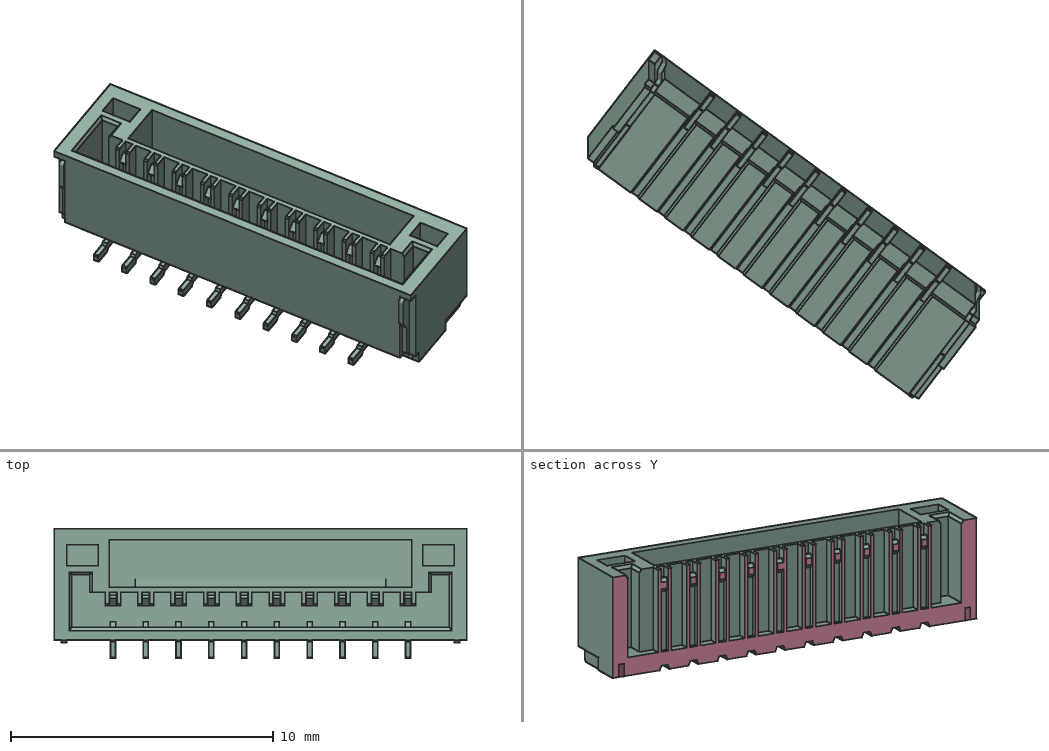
import cadquery as cq


PITCH = 1.25
CONTACT_COUNT = 10
ROW_END_MARGIN = 2.25
LENGTH = (CONTACT_COUNT - 1) * PITCH + 2 * ROW_END_MARGIN
HALF_LENGTH = LENGTH / 2
DEPTH = 4.26
TOP_Z = 4.2
BASE_Z = 0.15
STEP_Z = 0.65
STEP_DEPTH = 0.62
FLOOR_Z = 0.9
CONTACT_X = [(i - (CONTACT_COUNT - 1) / 2) * PITCH for i in range(CONTACT_COUNT)]

FRONT_WALL = 0.36
CAVITY_END_WALL = 0.57
EAR_WIDTH = 0.88
EAR_BACK_Y = 2.6
TONGUE_FRONT_Y = 1.83
LEAD_IN_SIDE = 0.1
LEAD_IN_FRONT = 0.14
LEAD_IN_HEIGHT = 0.13
CAVITY_FRONT_Y = FRONT_WALL + LEAD_IN_FRONT
EAR_OUTER_X = HALF_LENGTH - CAVITY_END_WALL
EAR_INNER_X = EAR_OUTER_X - EAR_WIDTH

RIB_PAIR_WIDTH = 0.6
RIB_GAP = 0.3
RIB_FRONT_Y = 1.32
RIB_CHAMFER = 0.06

POCKET_END_WALL = 2.1
POCKET_FRONT_Y = 2.02
POCKET_BACK_Y = 3.83
RAMP_END_WALL = 3.1
RAMP_DEPTH = 0.3
RAMP_RISE = 0.04

HOLE_LENGTH = 1.2
HOLE_WIDTH = 0.8
HOLE_INSET_X = 0.49
HOLE_BACK_WALL = 0.62

CONTACT_WIDTH = 0.2
CONTACT_REAR_Y = 1.0
STEM_FRONT_Y = 0.3
TAIL_REACH = 0.7
TAIL_THICKNESS = 0.33
TAIL_SHOULDER_Z = 0.43
TAIL_BEND = 0.07
TAIL_TIP_CHAMFER = 0.05
BLADE_TOP_Z = 3.82
BLADE_NOSE_DROP = 0.28
BLADE_NOSE_Z = BLADE_TOP_Z - BLADE_NOSE_DROP
BLADE_UNDERCUT_Z = BLADE_NOSE_Z - BLADE_NOSE_DROP
BLADE_TIP_Y = 1.6
BLADE_LEVEL_Y = 1.72
BLADE_LEVEL_Z = 3.75
BLADE_WIDTH = 0.26
SPRING_DEPTH = 0.2
SPRING_TOP_Z = 1.3
TAIL_SLOT_WIDTH = 0.27
FLARE_WIDTH = 0.42
FLARE_TOP_Z = 0.33

TAB_THICKNESS = 0.2
TAB_INSET = 0.28
TAB_TOP_Z = 3.8
TAB_PROUD = 0.1
TAB_NECK_Y = 0.19
TAB_BEND_TOP_Z = 2.62
TAB_BEND_LOW_Z = 2.14
TAB_NECK_LOW_Z = 0.8
TAB_SETBACK_Z = 0.5
TAB_STRIP_BACK_Y = 0.8
TAB_BEND_RADIUS = 0.12
TAB_FOOT_FRONT_Y = 2.2
TAB_FOOT_CORNER = 0.1
GROOVE_DEPTH = 0.38
GROOVE_TOP_Z = 3.9
REAR_NOTCH_FRONT_Y = 2.65


def block(x_range, y_range, z_range):
    """Box spanning the given (low, high) ranges."""
    size = [high - low for low, high in (x_range, y_range, z_range)]
    origin = (x_range[0], y_range[0], z_range[0])
    return cq.Workplane("XY").box(*size, centered=False).translate(origin)


def yz_plate(points, width, x_center=0.0):
    """Closed (y, z) outline extruded to a width about x_center."""
    outline = cq.Workplane("YZ").polyline(points).close()
    return outline.extrude(width / 2, both=True).translate((x_center, 0, 0))


def mirrored(body):
    """The body together with its mirror image at the other end of the housing."""
    return body.add(body.mirror("YZ")).combine()


def cavity_outline(side, front, z):
    """U-shaped cavity outline at height z, its end, ear and front walls moved inward."""
    right_half = [
        (EAR_OUTER_X - side, FRONT_WALL + front),
        (EAR_OUTER_X - side, EAR_BACK_Y - side),
        (EAR_INNER_X + side, EAR_BACK_Y - side),
        (EAR_INNER_X + side, TONGUE_FRONT_Y),
    ]
    left_half = [(-x, y) for x, y in reversed(right_half)]
    return cq.Workplane("XY").workplane(offset=z).polyline(right_half + left_half).close()


def mating_cavity():
    shaft = cavity_outline(LEAD_IN_SIDE, LEAD_IN_FRONT, FLOOR_Z).extrude(TOP_Z - FLOOR_Z)
    lower = cavity_outline(LEAD_IN_SIDE, LEAD_IN_FRONT, TOP_Z - LEAD_IN_HEIGHT).wires().val()
    mouth = cavity_outline(0, 0, TOP_Z).wires().val()
    lead_in = cq.Workplane(cq.Solid.makeLoft([lower, mouth], True))
    return shaft.union(lead_in)


def rib_pair(x_center):
    """Two thin ribs standing either side of one contact."""
    ribs = block(
        (-RIB_PAIR_WIDTH / 2, RIB_PAIR_WIDTH / 2), (RIB_FRONT_Y, TONGUE_FRONT_Y), (FLOOR_Z, TOP_Z)
    )
    ribs = ribs.edges("<Y and >Z").chamfer(RIB_CHAMFER)
    gap = block((-RIB_GAP / 2, RIB_GAP / 2), (RIB_FRONT_Y, TONGUE_FRONT_Y), (FLOOR_Z, TOP_Z))
    return ribs.cut(gap).translate((x_center, 0, 0))


def rear_pocket():
    half = HALF_LENGTH - POCKET_END_WALL
    pocket = block((-half, half), (POCKET_FRONT_Y, POCKET_BACK_Y), (FLOOR_Z, TOP_Z))
    ramp_points = [
        (POCKET_FRONT_Y, FLOOR_Z),
        (POCKET_FRONT_Y + RAMP_DEPTH, FLOOR_Z),
        (POCKET_FRONT_Y, FLOOR_Z + RAMP_RISE),
    ]
    ramp = yz_plate(ramp_points, LENGTH - 2 * RAMP_END_WALL)
    return pocket.cut(ramp)


def corner_holes():
    outer_x = HALF_LENGTH - HOLE_INSET_X
    back_y = DEPTH - HOLE_BACK_WALL
    return mirrored(
        block((outer_x - HOLE_LENGTH, outer_x), (back_y - HOLE_WIDTH, back_y), (FLOOR_Z, TOP_Z))
    )


def base_notches():
    """Setback under the front wall, plus the rear notches that bare the solder tabs."""
    front = block((-HALF_LENGTH, HALF_LENGTH), (0, STEP_DEPTH), (BASE_Z, STEP_Z))
    rear = block(
        (HALF_LENGTH - TAB_INSET, HALF_LENGTH), (REAR_NOTCH_FRONT_Y, DEPTH), (BASE_Z, STEP_Z)
    )
    return front.union(mirrored(rear))


def tab_grooves():
    """Open grooves in the front corners, each as deep in X as the far face of its tab."""
    inner_x = HALF_LENGTH - TAB_INSET - TAB_THICKNESS
    return mirrored(block((inner_x, HALF_LENGTH), (0, GROOVE_DEPTH), (STEP_Z, GROOVE_TOP_Z)))


def tail_slot(x_center):
    """Slot around a contact tail, opening into a flared channel along the underside."""
    half_slot = TAIL_SLOT_WIDTH / 2
    slot = block((-half_slot, half_slot), (STEP_DEPTH, CONTACT_REAR_Y), (BASE_Z, STEP_Z))
    channel = (
        cq.Workplane("XZ")
        .polyline(
            [
                (-FLARE_WIDTH / 2, BASE_Z),
                (FLARE_WIDTH / 2, BASE_Z),
                (half_slot, FLARE_TOP_Z),
                (-half_slot, FLARE_TOP_Z),
            ]
        )
        .close()
        .extrude(-DEPTH)
    )
    return slot.union(channel).translate((x_center, 0, 0))


def contact(x_center):
    """Solder tail, mating blade between the ribs and stub by the front wall."""
    tail_points = [
        (CONTACT_REAR_Y, STEP_Z),
        (STEM_FRONT_Y, STEP_Z),
        (STEM_FRONT_Y, TAIL_SHOULDER_Z),
        (0, TAIL_SHOULDER_Z),
        (-TAIL_BEND, TAIL_THICKNESS),
        (-TAIL_REACH, TAIL_THICKNESS),
        (-TAIL_REACH, 0),
        (0, 0),
        (TAIL_BEND, BASE_Z),
        (CONTACT_REAR_Y, BASE_Z),
    ]
    tail = yz_plate(tail_points, CONTACT_WIDTH, x_center).edges("<Y and |X")
    tail = tail.chamfer(TAIL_TIP_CHAMFER)
    blade_points = [
        (TONGUE_FRONT_Y, FLOOR_Z),
        (TONGUE_FRONT_Y, BLADE_LEVEL_Z),
        (BLADE_LEVEL_Y, BLADE_LEVEL_Z),
        (BLADE_TIP_Y, BLADE_TOP_Z),
        (RIB_FRONT_Y, BLADE_NOSE_Z),
        (BLADE_TIP_Y, BLADE_UNDERCUT_Z),
        (BLADE_TIP_Y, FLOOR_Z),
    ]
    spring_points = [
        (CAVITY_FRONT_Y, FLOOR_Z),
        (CAVITY_FRONT_Y + SPRING_DEPTH, FLOOR_Z),
        (CAVITY_FRONT_Y + SPRING_DEPTH, SPRING_TOP_Z - SPRING_DEPTH),
        (CAVITY_FRONT_Y, SPRING_TOP_Z),
    ]
    blade = yz_plate(blade_points, BLADE_WIDTH, x_center)
    spring = yz_plate(spring_points, CONTACT_WIDTH, x_center)
    return [tail, blade, spring]


def solder_tab():
    """Flat tab at the +X end: bent front strip above a foot running to the back of the housing."""
    bends = [
        (-TAB_PROUD, TAB_TOP_Z),
        (-TAB_PROUD, TAB_BEND_TOP_Z),
        (TAB_NECK_Y, TAB_BEND_LOW_Z),
        (TAB_NECK_Y, TAB_NECK_LOW_Z),
        (STEP_DEPTH, TAB_SETBACK_Z),
    ]
    points = bends + [
        (STEP_DEPTH, BASE_Z),
        (TAB_FOOT_FRONT_Y, BASE_Z),
        (TAB_FOOT_FRONT_Y, 0),
        (DEPTH - TAB_FOOT_CORNER, 0),
        (DEPTH, TAB_FOOT_CORNER),
        (DEPTH, STEP_Z),
        (TAB_STRIP_BACK_Y, STEP_Z),
        (TAB_STRIP_BACK_Y, TAB_TOP_Z),
    ]
    x_center = HALF_LENGTH - TAB_INSET - TAB_THICKNESS / 2
    tab = yz_plate(points, TAB_THICKNESS, x_center)
    for y, z in bends:
        tab = tab.edges(cq.NearestToPointSelector((x_center, y, z))).fillet(TAB_BEND_RADIUS)
    return tab


def housing(tabs):
    """Housing with its contacts moulded in, slotted to receive the solder tabs."""
    body = block((-HALF_LENGTH, HALF_LENGTH), (0, DEPTH), (BASE_Z, TOP_Z))
    for opening in (mating_cavity(), rear_pocket(), corner_holes(), base_notches(), tab_grooves()):
        body = body.cut(opening)
    for x_center in CONTACT_X:
        body = body.cut(tail_slot(x_center)).union(rib_pair(x_center))
        for section in contact(x_center):
            body = body.union(section)
    for tab in tabs:
        body = body.cut(tab)
    return body


right_tab = solder_tab()
left_tab = right_tab.mirror("YZ")
connector_housing = housing([right_tab, left_tab])

result = cq.Compound.makeCompound([connector_housing.val(), right_tab.val(), left_tab.val()])